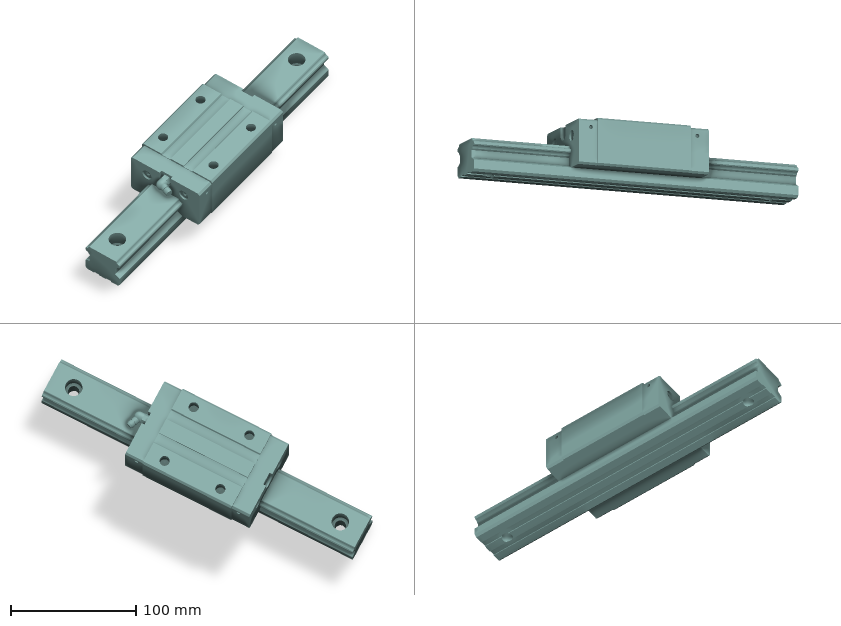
import cadquery as cq


HEX_SIDES = 6

RAIL_LENGTH = 280.0
RAIL_HEIGHT = 27.5
RAIL_HALF_WIDTH = 17.0
RAIL_FOOT_CHAMFER = 2.0
RAIL_FOOT_TOP_Z = 9.2
RAIL_WEB_HALF_WIDTH = 12.3
RAIL_WEB_BOTTOM_Z = 11.8
RAIL_WEB_TOP_Z = 18.0
RAIL_TOP_HALF_WIDTH = 13.2
TIP_CENTRE_Z = 23.0
TIP_HALF_FLAT = 0.8
RACEWAY_OUTER_X = 16.2
RACEWAY_INNER_X = 13.7
RACEWAY_NEAR_OFFSET = 1.7
RACEWAY_FAR_OFFSET = 4.0
RACEWAY_MID_X = 14.5
RACEWAY_MID_OFFSET = 2.5
RAIL_UNDERCUT_X = 6.0
RAIL_UNDERCUT_WIDTH = 5.0
RAIL_UNDERCUT_DEPTH = 0.8
RAIL_HOLE_DIAMETER = 9.0
RAIL_BORE_DIAMETER = 14.0
RAIL_BORE_DEPTH = 12.0
RAIL_HOLE_Y = 120.0

CARRIAGE_LENGTH = 112.0
CARRIAGE_BOTTOM_Z = 9.2
CARRIAGE_CHAMFER = 1.7
BLOCK_WIDTH = 70.0
BLOCK_LENGTH = 80.0
BLOCK_TOP_Z = 48.0
CAP_WIDTH = 68.3
CAP_TOP_Z = 46.2
GROOVE_INNER_X = 6.5
GROOVE_OUTER_X = 15.7
GROOVE_SLOPE_WIDTH = 0.8
GROOVE_DEPTH = 1.0
MOUNT_HOLE_DIAMETER = 8.0
MOUNT_HOLE_DEPTH = 10.0
MOUNT_HOLE_PITCH = 50.0
SCREW_X = 18.2
SCREW_Z = 35.0
SCREW_RECESS_DIAMETER = 9.0
SCREW_RECESS_DEPTH = 1.7
SCREW_SOCKET_ACROSS_CORNERS = 4.0
SCREW_SOCKET_DEPTH = 1.7
NOTCH_WIDTH = 11.0
NOTCH_DEPTH = 2.5
SIDE_HOLE_DIAMETER = 3.5
SIDE_HOLE_DEPTH = 2.8
SIDE_HOLE_END_OFFSET = 10.0

NIPPLE_Z = 39.8
HEX_ACROSS_CORNERS = 9.2
HEX_LENGTH = 4.2
BODY_RADIUS = 4.2
BODY_LENGTH = 3.5
ARM_ANGLE = 22.0
ARM_START_OFFSET = 0.5
ARM_LENGTH = 11.5
ARM_RADIUS = 3.0
ARM_NECK_RADIUS = 2.5
ARM_TIP_RADIUS = 2.5
ARM_NECK_START = 6.5
ARM_NECK_END = 7.3
ARM_TAPER_START = 9.8


def mirrored_about_yz(points):
    """Section points on the other side of the centre plane, in reverse order."""
    return [(-x, z) for x, z in reversed(points)]


def rail_profile():
    """Solid section of the rail in the XZ plane, right half then left half."""
    mid_low = (RACEWAY_MID_X, TIP_CENTRE_Z - RACEWAY_MID_OFFSET)
    mid_high = (RACEWAY_MID_X, TIP_CENTRE_Z + RACEWAY_MID_OFFSET)
    foot_and_web = [
        (RAIL_HALF_WIDTH, 0),
        (RAIL_HALF_WIDTH, RAIL_FOOT_TOP_Z),
        (RAIL_WEB_HALF_WIDTH, RAIL_WEB_BOTTOM_Z),
        (RAIL_WEB_HALF_WIDTH, RAIL_WEB_TOP_Z),
        (RACEWAY_INNER_X, TIP_CENTRE_Z - RACEWAY_FAR_OFFSET),
    ]
    tip = [
        (RACEWAY_OUTER_X, TIP_CENTRE_Z - RACEWAY_NEAR_OFFSET),
        (RAIL_HALF_WIDTH, TIP_CENTRE_Z - TIP_HALF_FLAT),
        (RAIL_HALF_WIDTH, TIP_CENTRE_Z + TIP_HALF_FLAT),
        (RACEWAY_OUTER_X, TIP_CENTRE_Z + RACEWAY_NEAR_OFFSET),
    ]
    top = [
        (RACEWAY_INNER_X, TIP_CENTRE_Z + RACEWAY_FAR_OFFSET),
        (RAIL_TOP_HALF_WIDTH, RAIL_HEIGHT),
    ]
    top_left, tip_left, foot_left = (mirrored_about_yz(part) for part in (top, tip, foot_and_web))
    mid_high_left, mid_low_left = mirrored_about_yz([mid_low, mid_high])
    return (
        cq.Workplane("XZ")
        .polyline(foot_and_web)
        .threePointArc(mid_low, tip[0])
        .polyline(tip[1:], includeCurrent=True)
        .threePointArc(mid_high, top[0])
        .polyline(top[1:] + top_left, includeCurrent=True)
        .threePointArc(mid_high_left, tip_left[0])
        .polyline(tip_left[1:], includeCurrent=True)
        .threePointArc(mid_low_left, foot_left[0])
        .polyline(foot_left[1:], includeCurrent=True)
        .close()
    )


def rail_bar():
    """Rail before drilling, with the bottom corners of the foot chamfered."""
    bar = rail_profile().extrude(RAIL_LENGTH / 2, both=True)
    return bar.faces("<Z").edges("|Y").chamfer(RAIL_FOOT_CHAMFER)


def rail_undercuts():
    """Two shallow grooves along the underside of the foot."""
    return (
        cq.Workplane("XY")
        .pushPoints([(-RAIL_UNDERCUT_X, 0), (RAIL_UNDERCUT_X, 0)])
        .rect(RAIL_UNDERCUT_WIDTH, RAIL_LENGTH)
        .extrude(RAIL_UNDERCUT_DEPTH)
    )


def make_rail():
    """Rail with grooves underneath and a counterbored fixing hole near each end."""
    return (
        rail_bar()
        .cut(rail_undercuts())
        .faces(">Z")
        .workplane(origin=(0, 0, RAIL_HEIGHT))
        .pushPoints([(0, -RAIL_HOLE_Y), (0, RAIL_HOLE_Y)])
        .cboreHole(RAIL_HOLE_DIAMETER, RAIL_BORE_DIAMETER, RAIL_BORE_DEPTH)
    )


def chamfered_bar(width, length, top_z):
    """Bar centred on Y with all four long edges chamfered."""
    height = top_z - CARRIAGE_BOTTOM_Z
    return (
        cq.Workplane("XY")
        .box(width, length, height, centered=(True, True, False))
        .edges("|Y")
        .chamfer(CARRIAGE_CHAMFER)
        .translate((0, 0, CARRIAGE_BOTTOM_Z))
    )


def top_grooves():
    """Two grooves with an upright inner wall and a sloping outer wall."""
    floor_z = BLOCK_TOP_Z - GROOVE_DEPTH
    right = (
        cq.Workplane("XZ")
        .polyline([
            (GROOVE_INNER_X, BLOCK_TOP_Z),
            (GROOVE_INNER_X, floor_z),
            (GROOVE_OUTER_X - GROOVE_SLOPE_WIDTH, floor_z),
            (GROOVE_OUTER_X, BLOCK_TOP_Z),
        ])
        .close()
        .extrude(BLOCK_LENGTH / 2, both=True)
    )
    return right.union(right.mirror("YZ"))


def mount_holes():
    """Four blind holes in a square pattern in the top of the block."""
    return (
        cq.Workplane("XY", origin=(0, 0, BLOCK_TOP_Z))
        .rect(MOUNT_HOLE_PITCH, MOUNT_HOLE_PITCH, forConstruction=True)
        .vertices()
        .circle(MOUNT_HOLE_DIAMETER / 2)
        .extrude(-MOUNT_HOLE_DEPTH)
    )


def end_face_cuts():
    """Screw recesses and round-bottomed notch cut into the -Y end face."""
    face = cq.Workplane("XZ", origin=(0, -CARRIAGE_LENGTH / 2, 0))
    screws = face.pushPoints([(-SCREW_X, SCREW_Z), (SCREW_X, SCREW_Z)])
    recesses = screws.circle(SCREW_RECESS_DIAMETER / 2).extrude(-SCREW_RECESS_DEPTH)
    socket_floor = SCREW_RECESS_DEPTH + SCREW_SOCKET_DEPTH
    sockets = screws.polygon(HEX_SIDES, SCREW_SOCKET_ACROSS_CORNERS).extrude(-socket_floor)
    half_notch = NOTCH_WIDTH / 2
    notch = (
        face.moveTo(half_notch, CAP_TOP_Z)
        .lineTo(half_notch, NIPPLE_Z)
        .threePointArc((0, NIPPLE_Z - half_notch), (-half_notch, NIPPLE_Z))
        .lineTo(-half_notch, CAP_TOP_Z)
        .close()
        .extrude(-NOTCH_DEPTH)
    )
    return recesses.union(sockets).union(notch)


def side_holes():
    """Blind holes in both sides of both end caps."""
    hole_y = CARRIAGE_LENGTH / 2 - SIDE_HOLE_END_OFFSET
    left = (
        cq.Workplane("YZ", origin=(-CAP_WIDTH / 2, 0, 0))
        .pushPoints([(-hole_y, NIPPLE_Z), (hole_y, NIPPLE_Z)])
        .circle(SIDE_HOLE_DIAMETER / 2)
        .extrude(SIDE_HOLE_DEPTH)
    )
    return left.union(left.mirror("YZ"))


def make_carriage():
    """Block between two slightly smaller end caps, with a channel that fits the rail."""
    block = chamfered_bar(BLOCK_WIDTH, BLOCK_LENGTH, BLOCK_TOP_Z).cut(top_grooves())
    end_cuts = end_face_cuts()
    return (
        chamfered_bar(CAP_WIDTH, CARRIAGE_LENGTH, CAP_TOP_Z)
        .union(block)
        .cut(mount_holes())
        .cut(end_cuts)
        .cut(end_cuts.mirror("XZ"))
        .cut(side_holes())
        .cut(rail_bar())
    )


def nipple_arm():
    """Arm along +X from the origin: round root, narrow neck and tapered tip."""
    return (
        cq.Workplane("XY")
        .polyline([
            (0, 0),
            (0, ARM_RADIUS),
            (ARM_NECK_START, ARM_RADIUS),
            (ARM_NECK_START, ARM_NECK_RADIUS),
            (ARM_NECK_END, ARM_NECK_RADIUS),
            (ARM_NECK_END, ARM_RADIUS),
            (ARM_TAPER_START, ARM_RADIUS),
            (ARM_LENGTH, ARM_TIP_RADIUS),
            (ARM_LENGTH, 0),
        ])
        .close()
        .revolve(360, (0, 0, 0), (1, 0, 0))
    )


def make_nipple():
    """Hexagon seated on the notch floor, round body with a domed end, and the angled arm."""
    seat_y = -CARRIAGE_LENGTH / 2 + NOTCH_DEPTH
    elbow_y = seat_y - HEX_LENGTH - BODY_LENGTH
    hexagon = (
        cq.Workplane("XZ", origin=(0, seat_y, NIPPLE_Z))
        .polygon(HEX_SIDES, HEX_ACROSS_CORNERS)
        .extrude(HEX_LENGTH)
    )
    body = (
        hexagon.faces("<Y")
        .workplane(origin=(0, 0, NIPPLE_Z))
        .circle(BODY_RADIUS)
        .extrude(BODY_LENGTH)
    )
    dome = cq.Workplane("XY").sphere(BODY_RADIUS).translate((0, elbow_y, NIPPLE_Z))
    arm = (
        nipple_arm()
        .rotate((0, 0, 0), (0, 0, 1), -ARM_ANGLE)
        .translate((0, elbow_y + ARM_START_OFFSET, NIPPLE_Z))
    )
    return body.union(dome).union(arm)


rail = make_rail()
carriage = make_carriage()
nipple = make_nipple()

result = cq.Compound.makeCompound([rail.solids().val(), carriage.solids().val(), nipple.solids().val()])